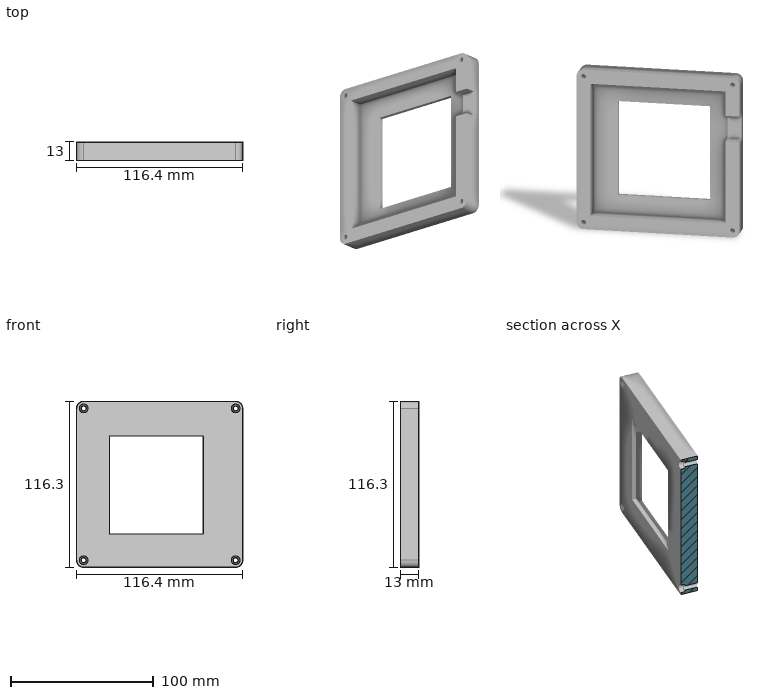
import cadquery as cq

WIDTH = 116.4
DEPTH = 13.0
HEIGHT = 116.3
CORNER_RADIUS = 5.0

WALL = 10.0
PLATE = 3.0

WINDOW_WIDTH = 65.4
WINDOW_HEIGHT = 68.5
WINDOW_LEFT_MARGIN = 23.2
WINDOW_TOP_MARGIN = 24.5

SCREW_INSET = 5.0
SCREW_DIAMETER = 3.4
COUNTERBORE_DIAMETER = 6.0
COUNTERBORE_DEPTH = 3.0

NOTCH_HEIGHT = 18.4
NOTCH_DEPTH = 7.7
NOTCH_TOP_MARGIN = 27.8


def box(x, y, z, width, depth, height):
    """Box whose lowest corner is at (x, y, z)."""
    return cq.Workplane("XY").box(width, depth, height, centered=False).translate((x, y, z))


def hole(x, z, diameter, depth):
    """Round cutter running back from the front face."""
    return cq.Workplane("XZ", origin=(x, 0, z)).circle(diameter / 2).extrude(-depth)


body = box(0, 0, 0, WIDTH, DEPTH, HEIGHT).edges("|Y").fillet(CORNER_RADIUS)

pocket = box(WALL, PLATE, WALL, WIDTH - 2 * WALL, DEPTH - PLATE, HEIGHT - 2 * WALL)

window_bottom = HEIGHT - WINDOW_TOP_MARGIN - WINDOW_HEIGHT
window = box(WINDOW_LEFT_MARGIN, 0, window_bottom, WINDOW_WIDTH, DEPTH, WINDOW_HEIGHT)

notch_bottom = HEIGHT - NOTCH_TOP_MARGIN - NOTCH_HEIGHT
notch = box(0, DEPTH - NOTCH_DEPTH, notch_bottom, WALL, NOTCH_DEPTH, NOTCH_HEIGHT)

result = body.cut(pocket).cut(window).cut(notch)

for screw_x in (SCREW_INSET, WIDTH - SCREW_INSET):
    for screw_z in (SCREW_INSET, HEIGHT - SCREW_INSET):
        result = result.cut(hole(screw_x, screw_z, SCREW_DIAMETER, DEPTH))
        result = result.cut(hole(screw_x, screw_z, COUNTERBORE_DIAMETER, COUNTERBORE_DEPTH))